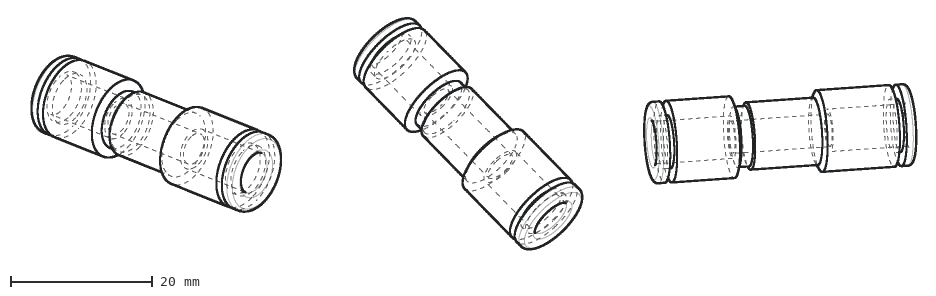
import cadquery as cq

length = 37.1
outer_diameter = 11.6
outer_radius = outer_diameter / 2

collar_width = 1.5
collar_radius = 5.8
end_fillet = 0.55
groove_width = 1.0
groove_radius = 3.8

left_sleeve_length = 9.05
right_sleeve_length = 10.43
cone_length = 0.55

neck_radius = 4.3
neck_end = 13.73
waist_radius = 4.8
waist_cone_length = 0.22

bore_radius = 2.3
socket_radius = 3.0

sleeve_start = collar_width + groove_width
left_sleeve_end = sleeve_start + left_sleeve_length
right_sleeve_start = length - sleeve_start - right_sleeve_length
socket_depth = left_sleeve_end


def turned_body():
    """Solid of revolution with the stepped outer outline."""
    outline = [
        (0, 0),
        (0, collar_radius),
        (collar_width, collar_radius),
        (collar_width, groove_radius),
        (sleeve_start, groove_radius),
        (sleeve_start, outer_radius),
        (left_sleeve_end, outer_radius),
        (left_sleeve_end + cone_length, neck_radius),
        (neck_end, neck_radius),
        (neck_end + waist_cone_length, waist_radius),
        (right_sleeve_start - cone_length, waist_radius),
        (right_sleeve_start, outer_radius),
        (length - sleeve_start, outer_radius),
        (length - sleeve_start, groove_radius),
        (length - collar_width, groove_radius),
        (length - collar_width, collar_radius),
        (length, collar_radius),
        (length, 0),
    ]
    return cq.Workplane("XY").polyline(outline).close().revolve(360, (0, 0, 0), (1, 0, 0))


def axial_cylinder(radius, start, end):
    """Cylinder on the X axis between two X positions."""
    return cq.Workplane("YZ", origin=(start, 0, 0)).circle(radius).extrude(end - start)


body = turned_body()
body = body.cut(axial_cylinder(bore_radius, 0, length))
body = body.cut(axial_cylinder(socket_radius, 0, socket_depth))
body = body.cut(axial_cylinder(socket_radius, length - socket_depth, length))

for end_face in ("<X", ">X"):
    body = body.faces(end_face).edges().fillet(end_fillet)

result = body